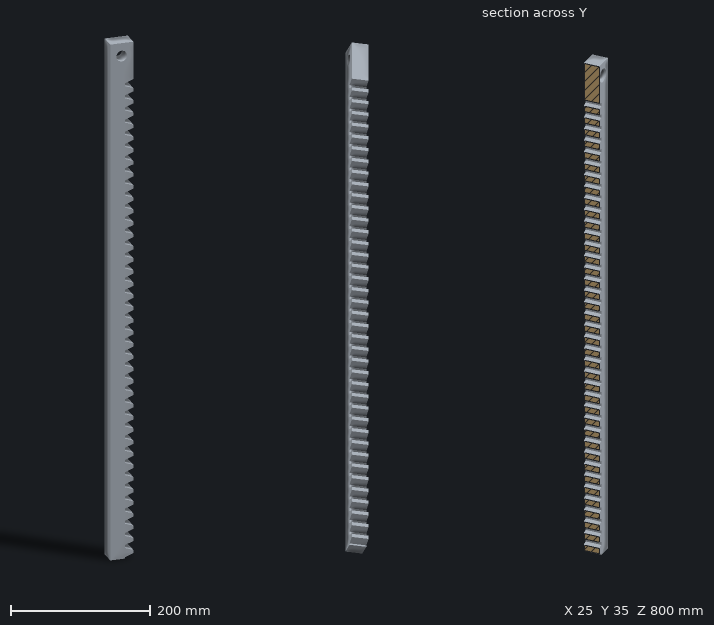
import cadquery as cq
import math

width = 25.0
height = 35.0
length = 800.0

module = 6.0
pitch = math.pi * module
pressure_angle = math.radians(20.0)
addendum = module
dedendum = 1.05 * module
gap_count = 40
lowest_gap_z = -0.15

hole_diameter = 16.5
hole_chamfer = 2.25
hole_from_top = 20.0

tip_y = height / 2
root_y = tip_y - addendum - dedendum
tip_gap_half = pitch / 4 + addendum * math.tan(pressure_angle)
root_gap_half = pitch / 4 - dedendum * math.tan(pressure_angle)


def make_bar():
    """Plain bar centred on X and Y, standing on the XY plane."""
    return cq.Workplane("XY").box(width, height, length, centered=(True, True, False))


def tooth_gap(centre_z):
    """Trapezoidal space between two teeth, running the full width of the bar."""
    profile = [
        (tip_y, centre_z - tip_gap_half),
        (root_y, centre_z - root_gap_half),
        (root_y, centre_z + root_gap_half),
        (tip_y, centre_z + tip_gap_half),
    ]
    return cq.Workplane("YZ").polyline(profile).close().extrude(width / 2, both=True)


def cut_teeth(bar):
    for index in range(gap_count):
        bar = bar.cut(tooth_gap(lowest_gap_z + index * pitch))
    return bar


def mounting_hole():
    """Solid of revolution about an axis along X: a bore with a conical mouth at -X."""
    hole_z = length - hole_from_top
    radius = hole_diameter / 2
    mouth_radius = radius + hole_chamfer
    profile = [
        (-width / 2, 0),
        (-width / 2, mouth_radius),
        (-width / 2 + hole_chamfer, radius),
        (width / 2, radius),
        (width / 2, 0),
    ]
    hole = cq.Workplane("XY").polyline(profile).close().revolve(360, (0, 0, 0), (1, 0, 0))
    return hole.translate((0, 0, hole_z))


result = cut_teeth(make_bar()).cut(mounting_hole())